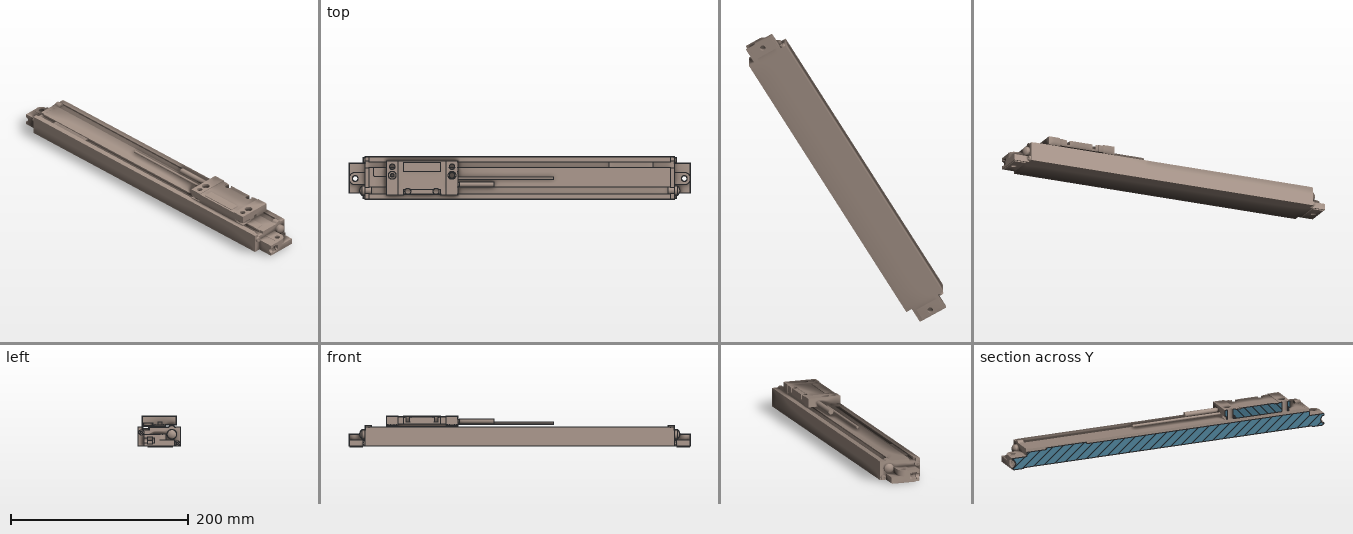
import cadquery as cq
import math

LENGTH = 384.0
WIDTH = 48.0
RAIL_BOTTOM = 0.95
RAIL_TOP = 22.5
CAP_END = 174.0
CAP_THICKNESS = 4.5
RAIL_END = CAP_END - CAP_THICKNESS

REAR_GROOVE = (12.0, 18.0)
FRONT_GROOVE = (-18.0, -10.0)
REAR_GROOVE_FLOOR = 19.2
FRONT_GROOVE_FLOOR = 20.7
COVER_DROP = 0.5
CAP_GROOVE = (11.0, 19.2)
CAP_TOP = RAIL_TOP - 0.2

GROOVE_STRIP_X = (100.2, 150.0)
GROOVE_STRIP_HEIGHT = 2.0
LABEL_X = (-164.7, -115.2)
LABEL_Y = (1.73, 12.0)
LABEL_HEIGHT = 0.5
LABEL_CORNER = 2.3

CAP_SCREWS = [(20.0, 16.5), (-20.5, 4.05)]
CAP_SCREW_RADIUS = 2.88
CAP_SCREW_HEIGHT = 2.3
CAP_SOCKET_RADIUS = 1.0
CAP_SOCKET_DEPTH = 1.0

PLUG_Y = -14.2
PLUG_Z = 20.5
PLUG_RADIUS = 4.05
PLUG_LENGTH = 7.0
GLAND_Z = 14.4
GLAND_RADIUS = 5.5
GLAND_COLLAR_LENGTH = 3.5
GLAND_DOME_HEIGHT = 2.5

BRACKET_Y = (-17.0, 17.0)
BRACKET_LOW_TOP = 7.87
BRACKET_HIGH_TOP = 14.2
LUG_TOP = BRACKET_HIGH_TOP + 0.5
LUG_RADIUS = 7.0
LUG_X = LENGTH / 2 - LUG_RADIUS
LUG_Y = -0.58
LUG_HOLE_RADIUS = 3.0
FOOT_X = (177.0, 191.0)
FOOT_Y = (-15.0, 12.5)

CHANNEL_Z = 7.3
CHANNEL_RADIUS = 2.88
CHANNEL_INNER_Y = 5.5
NUT_Y = (7.5, 13.5)
NUT_HALF_HEIGHT = 4.05

HEAD_X = (-150.0, -69.5)
HEAD_HALF_WIDTH = 19.2
HEAD_TOP = 35.0
HEAD_BOTTOM = 25.0
HEAD_MIDDLE_X = (-136.7, -83.0)
MIDDLE_DROP = 0.8
MIDDLE_BOTTOM = 26.0
MIDDLE_INSET = 0.5
PLATE_X = (-130.5, -89.0)
PLATE_Y = (7.3, 17.3)

DOOR_BACK_Y = -13.0
DOOR_STEP = 0.5
DOOR_SCREW_X = (-126.0, -94.0)
DOOR_SCREW_Y = -15.0
DOOR_SCREW_RADIUS = 3.5
DOOR_SLOT_WIDTH = 4.0
DOOR_SLOT_FLOOR = 28.5

END_HOLE_INSET = 6.72
THROUGH_HOLE_Y = 12.5
THROUGH_HOLE_RADIUS = 3.0
BOLT_Y = 3.0
BOLT_HEAD_RADIUS = 4.4
BOLT_HEAD_DEPTH = 4.5
LEFT_BOLT_RADIUS = 2.0
RIGHT_BOLT_RADIUS = 3.0

BASE_BOTTOM = 23.0
BASE_TOP = 24.0
BASE_REAR_Y = 5.8
CARRIAGE_X = (-138.5, -82.0)
CARRIAGE_FRONT_Y = -7.3
CARRIAGE_CORNER = 7.5
RELIEF_FRONT_Y = 7.3
RELIEF_TOP = 27.0
STANDOFF_RADIUS = 5.0

NOTCH_Y = (-3.0, 1.0)
NOTCH_TOP = 28.5
NOTCH_DEPTH = 2.0

WIRE_Y = -0.5
WIRE_Z = 27.0
WIRE_RADIUS = 1.35
WIRE_END = 38.0
SLEEVE_Y = -7.3
SLEEVE_Z = 28.8
SLEEVE_RADIUS = 2.88
SLEEVE_X = (-67.5, -28.8)
SLEEVE_NECK_RADIUS = 2.3

BITE = 1.0


def block(x_span, y_span, z_span):
    """Box between the given pairs of limits."""
    size = [high - low for low, high in (x_span, y_span, z_span)]
    corner = (x_span[0], y_span[0], z_span[0])
    return cq.Workplane("XY").box(*size, centered=False).translate(corner)


def upright(x, y, radius, z_span):
    """Vertical cylinder."""
    base = cq.Workplane("XY", origin=(x, y, z_span[0]))
    return base.circle(radius).extrude(z_span[1] - z_span[0])


def lengthwise(y, z, radius, x_span):
    """Cylinder along X."""
    base = cq.Workplane("YZ", origin=(x_span[0], y, z))
    return base.circle(radius).extrude(x_span[1] - x_span[0])


def make_profile():
    """Rail between the caps, with its two grooves and the cover strip."""
    along = (-RAIL_END, RAIL_END)
    profile = block(along, (-WIDTH / 2, WIDTH / 2), (RAIL_BOTTOM, RAIL_TOP))
    profile = profile.cut(block(along, REAR_GROOVE, (REAR_GROOVE_FLOOR, RAIL_TOP)))
    profile = profile.cut(block(along, FRONT_GROOVE, (FRONT_GROOVE_FLOOR, RAIL_TOP)))
    cover_top = RAIL_TOP - COVER_DROP
    profile = profile.cut(block(along, (FRONT_GROOVE[1], REAR_GROOVE[0]), (cover_top, RAIL_TOP)))

    strip_z = (REAR_GROOVE_FLOOR, REAR_GROOVE_FLOOR + GROOVE_STRIP_HEIGHT)
    profile = profile.union(block(GROOVE_STRIP_X, REAR_GROOVE, strip_z))
    label = block(LABEL_X, LABEL_Y, (cover_top - BITE, cover_top + LABEL_HEIGHT))
    label = label.edges("|Z and <X and <Y").fillet(LABEL_CORNER)
    return profile.union(label)


def make_cap():
    """Right end cap with its screws, plug and cable gland."""
    cap = block((RAIL_END, CAP_END), (-WIDTH / 2, WIDTH / 2), (RAIL_BOTTOM, CAP_TOP))
    cap = cap.cut(block((RAIL_END, CAP_END), CAP_GROOVE, (REAR_GROOVE_FLOOR, RAIL_TOP)))
    cap = cap.union(lengthwise(PLUG_Y, PLUG_Z, PLUG_RADIUS, (CAP_END - PLUG_LENGTH, CAP_END)))

    screw_end = CAP_END + CAP_SCREW_HEIGHT
    for y, z in CAP_SCREWS:
        cap = cap.union(lengthwise(y, z, CAP_SCREW_RADIUS, (CAP_END - BITE, screw_end)))
        socket_x = (screw_end - CAP_SOCKET_DEPTH, screw_end)
        cap = cap.cut(lengthwise(y, z, CAP_SOCKET_RADIUS, socket_x))

    collar_end = CAP_END + GLAND_COLLAR_LENGTH
    tip = collar_end + GLAND_DOME_HEIGHT
    dome_radius = (GLAND_RADIUS**2 + GLAND_DOME_HEIGHT**2) / (2 * GLAND_DOME_HEIGHT)
    gland = (
        cq.Workplane("XY")
        .moveTo(CAP_END - BITE, 0)
        .lineTo(CAP_END - BITE, GLAND_RADIUS)
        .lineTo(collar_end, GLAND_RADIUS)
        .radiusArc((tip, 0), dome_radius)
        .close()
        .revolve(360, (0, 0, 0), (1, 0, 0))
        .translate((0, PLUG_Y, GLAND_Z))
    )
    return cap.union(gland)


def make_bracket():
    """Right mounting bracket: stepped plate, lug, foot pad and end channel."""
    end = LENGTH / 2
    along = (CAP_END - BITE, end)
    bracket = block(along, BRACKET_Y, (RAIL_BOTTOM, BRACKET_LOW_TOP))
    bracket = bracket.union(block(along, (LUG_Y, BRACKET_Y[1]), (RAIL_BOTTOM, BRACKET_HIGH_TOP)))
    bracket = bracket.union(block(FOOT_X, FOOT_Y, (0, RAIL_BOTTOM + BITE)))

    lug_z = (RAIL_BOTTOM, LUG_TOP)
    bracket = bracket.union(upright(LUG_X, LUG_Y, LUG_RADIUS, lug_z))
    neck_y = (LUG_Y - LUG_RADIUS, LUG_Y + LUG_RADIUS)
    bracket = bracket.union(block((along[0], LUG_X), neck_y, lug_z))
    bracket = bracket.cut(upright(LUG_X, LUG_Y, LUG_HOLE_RADIUS, (0, LUG_TOP)))

    channel = cq.Workplane("XZ", origin=(end, BRACKET_Y[1], CHANNEL_Z)).circle(CHANNEL_RADIUS)
    bracket = bracket.cut(channel.extrude(BRACKET_Y[1] - CHANNEL_INNER_Y))
    nut_diameter = 2 * NUT_HALF_HEIGHT / math.cos(math.radians(30))
    nut = cq.Workplane("XZ", origin=(end, NUT_Y[1], CHANNEL_Z)).polygon(6, nut_diameter)
    return bracket.cut(nut.extrude(NUT_Y[1] - NUT_Y[0]))


def make_rail():
    """Rail with the same cap and bracket mirrored to both ends."""
    rail = make_profile()
    for part in (make_cap(), make_bracket()):
        rail = rail.union(part).union(part.mirror("YZ"))
    return rail


def make_housing():
    """Two end blocks with a slightly lower middle and a raised name plate."""
    across = (-HEAD_HALF_WIDTH, HEAD_HALF_WIDTH)
    middle_top = HEAD_TOP - MIDDLE_DROP
    housing = block(HEAD_X, across, (HEAD_BOTTOM, HEAD_TOP))
    housing = housing.cut(block(HEAD_MIDDLE_X, across, (middle_top, HEAD_TOP)))
    housing = housing.cut(block(HEAD_MIDDLE_X, across, (HEAD_BOTTOM, MIDDLE_BOTTOM)))
    front_skin = (-HEAD_HALF_WIDTH, -HEAD_HALF_WIDTH + MIDDLE_INSET)
    housing = housing.cut(block(HEAD_MIDDLE_X, front_skin, (HEAD_BOTTOM, HEAD_TOP)))
    return housing.union(block(PLATE_X, PLATE_Y, (middle_top - BITE, HEAD_TOP)))


def cut_door(housing):
    """Step the front door back and cut its two screw slots."""
    front = -HEAD_HALF_WIDTH + MIDDLE_INSET
    door_top = HEAD_TOP - MIDDLE_DROP - DOOR_STEP
    housing = housing.cut(block(PLATE_X, (front, DOOR_BACK_Y), (door_top, HEAD_TOP)))
    housing = housing.cut(block(PLATE_X, (front, front + DOOR_STEP), (MIDDLE_BOTTOM, HEAD_TOP)))
    slot_z = (DOOR_SLOT_FLOOR, HEAD_TOP)
    for x in DOOR_SCREW_X:
        slot_x = (x - DOOR_SLOT_WIDTH / 2, x + DOOR_SLOT_WIDTH / 2)
        housing = housing.cut(upright(x, DOOR_SCREW_Y, DOOR_SCREW_RADIUS, slot_z))
        housing = housing.cut(block(slot_x, (front, DOOR_SCREW_Y), slot_z))
    return housing


def add_base(housing):
    """Slide base: a rear plate over the full length and a round-cornered carriage."""
    rear = HEAD_HALF_WIDTH
    housing = housing.cut(block(HEAD_X, (RELIEF_FRONT_Y, rear), (HEAD_BOTTOM, RELIEF_TOP)))
    housing = housing.union(block(HEAD_X, (BASE_REAR_Y, rear), (BASE_BOTTOM, BASE_TOP)))
    carriage = block(CARRIAGE_X, (CARRIAGE_FRONT_Y, rear), (BASE_BOTTOM, RELIEF_TOP))
    return housing.union(carriage.edges("|Z and <Y").fillet(CARRIAGE_CORNER))


def drill_end_blocks(housing):
    """Standoff, through hole and counterbored bolt hole in each end block."""
    left = (HEAD_X[0] + END_HOLE_INSET, LEFT_BOLT_RADIUS)
    right = (HEAD_X[1] - END_HOLE_INSET, RIGHT_BOLT_RADIUS)
    for x, bolt_radius in (left, right):
        standoff_z = (BASE_BOTTOM, RELIEF_TOP + BITE)
        housing = housing.union(upright(x, THROUGH_HOLE_Y, STANDOFF_RADIUS, standoff_z))
        through = (BASE_BOTTOM, HEAD_TOP)
        housing = housing.cut(upright(x, THROUGH_HOLE_Y, THROUGH_HOLE_RADIUS, through))
        housing = housing.cut(upright(x, BOLT_Y, bolt_radius, through))
        head_z = (HEAD_TOP - BOLT_HEAD_DEPTH, HEAD_TOP)
        housing = housing.cut(upright(x, BOLT_Y, BOLT_HEAD_RADIUS, head_z))
    return housing


def cut_end_notch(housing):
    """Small notch in the lower edge of the left end face."""
    notch_x = (HEAD_X[0], HEAD_X[0] + NOTCH_DEPTH)
    return housing.cut(block(notch_x, NOTCH_Y, (HEAD_BOTTOM, NOTCH_TOP)))


def add_cables(housing):
    """Thin wire and thicker sleeve leaving the right end of the head."""
    start = HEAD_X[1] - BITE
    neck = lengthwise(SLEEVE_Y, SLEEVE_Z, SLEEVE_NECK_RADIUS, (start, SLEEVE_X[0] + BITE))
    sleeve = lengthwise(SLEEVE_Y, SLEEVE_Z, SLEEVE_RADIUS, SLEEVE_X)
    wire = lengthwise(WIRE_Y, WIRE_Z, WIRE_RADIUS, (start, WIRE_END))
    return housing.union(neck).union(sleeve).union(wire)


def make_head():
    """Complete reading head with its cables."""
    head = cut_door(make_housing())
    head = add_base(head)
    head = drill_end_blocks(head)
    head = cut_end_notch(head)
    return add_cables(head)


rail = make_rail()
head = make_head()

result = cq.Compound.makeCompound([rail.val(), head.val()])